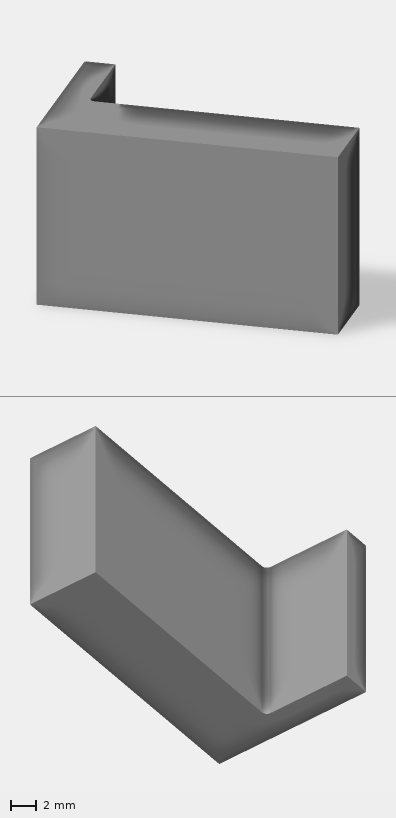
import cadquery as cq

length = 24.5
depth = 14.5
height = 15.0

bar_thickness = 6.5
flange_thickness = 2.5
inner_radius = 0.5

outline = (
    cq.Workplane("XY")
    .lineTo(length, 0)
    .lineTo(length, bar_thickness)
    .lineTo(flange_thickness + inner_radius, bar_thickness)
    .radiusArc((flange_thickness, bar_thickness + inner_radius), inner_radius)
    .lineTo(flange_thickness, depth)
    .lineTo(0, depth)
    .close()
)

result = outline.extrude(height)